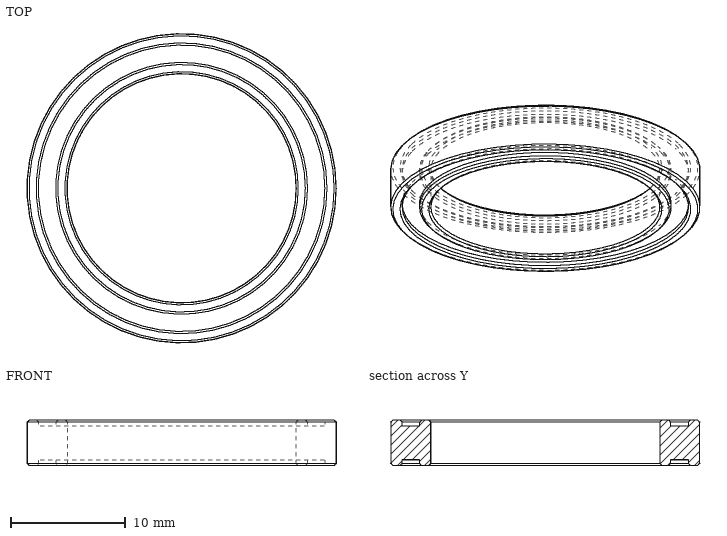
import cadquery as cq

outer_radius = 13.5
bore_radius = 10.0
width = 4.0
edge_chamfer = 0.2

recess_inner_radius = 11.0
recess_outer_radius = 12.5
recess_depth = 0.5


def chamfered_ring(inner_radius, ring_outer_radius):
    """Full-width race with all four circular edges chamfered."""
    ring = cq.Workplane("XY").circle(ring_outer_radius).circle(inner_radius).extrude(width)
    return ring.edges("%CIRCLE").chamfer(edge_chamfer)


inner_race = chamfered_ring(bore_radius, recess_inner_radius)
outer_race = chamfered_ring(recess_outer_radius, outer_radius)

shield_core = (
    cq.Workplane("XY")
    .workplane(offset=recess_depth)
    .circle(recess_outer_radius)
    .circle(recess_inner_radius)
    .extrude(width - 2 * recess_depth)
)

result = inner_race.union(shield_core).union(outer_race).translate((0, 0, -width / 2))